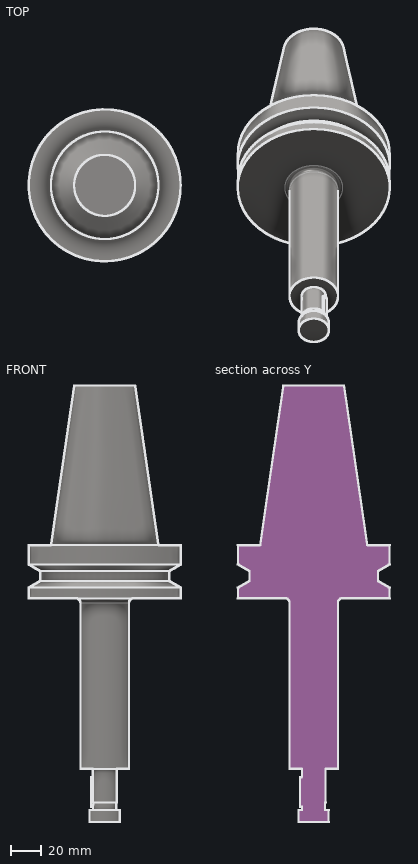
import cadquery as cq
import math

TAPER_RATIO = 7 / 24
GAUGE_DIAMETER = 69.85
TAPER_LENGTH = 101.8
FLANGE_GAP = 3.0

FLANGE_DIAMETER = 100.0
FLANGE_THICKNESS = 35.0
GROOVE_DIAMETER = 85.0
UPPER_RIM_HEIGHT = 12.8
LOWER_RIM_HEIGHT = 7.1
GROOVE_FLANK_ANGLE = 30.0

EXTENSION_DIAMETER = 32.0
EXTENSION_LENGTH = 112.0
EXTENSION_FILLET = 3.0

PILOT_DIAMETER = 16.0
PILOT_LENGTH = 22.0
RELIEF_DIAMETER = 15.5
RELIEF_LENGTH = 5.0
SCREW_HEAD_DIAMETER = 20.0
SCREW_HEAD_HEIGHT = 8.0

KEY_WIDTH = 4.0
KEY_LENGTH = 19.5
KEY_TOP_OFFSET = 5.5
KEY_OUTER_DISTANCE = 9.0

groove_depth = (FLANGE_DIAMETER - GROOVE_DIAMETER) / 2
flank_height = groove_depth * math.tan(math.radians(GROOVE_FLANK_ANGLE))

flange_top = -FLANGE_GAP
flange_bottom = flange_top - FLANGE_THICKNESS
groove_top = flange_top - UPPER_RIM_HEIGHT
groove_bottom = flange_bottom + LOWER_RIM_HEIGHT
extension_bottom = flange_bottom - EXTENSION_LENGTH
pilot_bottom = extension_bottom - PILOT_LENGTH
relief_bottom = pilot_bottom - RELIEF_LENGTH


def disc(diameter, top, height):
    """Cylinder on the Z axis reaching down from its top level."""
    return cq.Workplane("XY").workplane(offset=top).circle(diameter / 2).extrude(-height)


def make_taper():
    """Solid cone from the flange face up to the small end."""
    small_radius = (GAUGE_DIAMETER - TAPER_RATIO * TAPER_LENGTH) / 2
    large_radius = (GAUGE_DIAMETER + TAPER_RATIO * FLANGE_GAP) / 2
    profile = cq.Workplane("XZ").polyline([
        (0, flange_top),
        (large_radius, flange_top),
        (small_radius, TAPER_LENGTH),
        (0, TAPER_LENGTH),
    ]).close()
    return profile.revolve(360, (0, 0), (0, 1))


def make_flange():
    """Flange with the V groove around its rim."""
    rim_radius = FLANGE_DIAMETER / 2
    groove_radius = GROOVE_DIAMETER / 2
    profile = cq.Workplane("XZ").polyline([
        (0, flange_top),
        (rim_radius, flange_top),
        (rim_radius, groove_top),
        (groove_radius, groove_top - flank_height),
        (groove_radius, groove_bottom + flank_height),
        (rim_radius, groove_bottom),
        (rim_radius, flange_bottom),
        (0, flange_bottom),
    ]).close()
    return profile.revolve(360, (0, 0), (0, 1))


def make_extension():
    """Long cylinder below the flange, with a concave fillet at its root."""
    radius = EXTENSION_DIAMETER / 2
    profile = (
        cq.Workplane("XZ")
        .moveTo(0, flange_bottom)
        .lineTo(radius + EXTENSION_FILLET, flange_bottom)
        .radiusArc((radius, flange_bottom - EXTENSION_FILLET), -EXTENSION_FILLET)
        .lineTo(radius, extension_bottom)
        .lineTo(0, extension_bottom)
        .close()
    )
    return profile.revolve(360, (0, 0), (0, 1))


def make_arbor():
    """Pilot, relief and screw head, from top to bottom."""
    pilot = disc(PILOT_DIAMETER, extension_bottom, PILOT_LENGTH)
    relief = disc(RELIEF_DIAMETER, pilot_bottom, RELIEF_LENGTH)
    screw_head = disc(SCREW_HEAD_DIAMETER, relief_bottom, SCREW_HEAD_HEIGHT)
    return pilot.union(relief).union(screw_head)


def make_key():
    """Round-ended feather key running along Z, rooted at the arbor axis."""
    key_center = extension_bottom - KEY_TOP_OFFSET - KEY_LENGTH / 2
    return (
        cq.Workplane("YZ")
        .center(0, key_center)
        .slot2D(KEY_LENGTH, KEY_WIDTH, 90)
        .extrude(-KEY_OUTER_DISTANCE)
    )


result = (
    make_taper()
    .union(make_flange())
    .union(make_extension())
    .union(make_arbor())
    .union(make_key())
)